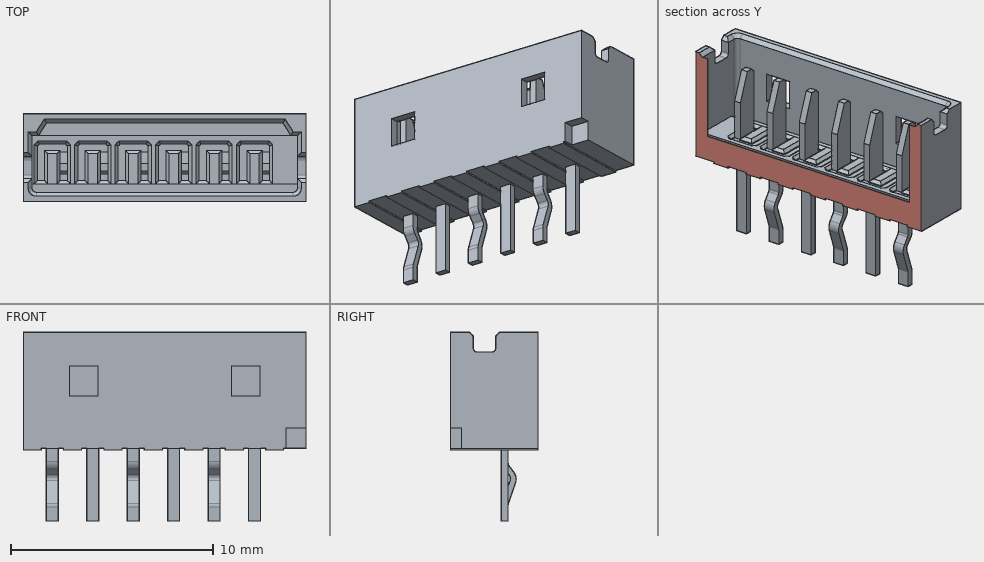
import cadquery as cq


length = 14.0
width = 4.35
height = 5.84
end_wall = 0.43
side_wall = 0.46
lead_in = 0.2
front_corner_radius = 0.21
key_shoulder_y = 3.26
key_shoulder = 0.32
key_slope = 0.39
cavity_depth = 4.44

bed_height = 0.1
bed_front_y = 0.88
bed_top = height - cavity_depth + bed_height

notch_y = 1.15
notch_width = 1.09
notch_depth = 0.98
notch_radius = 0.18

window_length = 1.41
window_height = 1.48
window_bottom = 2.69
window_offset = 4.0

terminal_count = 6
pitch = 2.0
row_shift = -0.56
terminal_xs = [
    length / 2 + row_shift + (i - (terminal_count - 1) / 2) * pitch for i in range(terminal_count)
]

pocket_width = 1.79
pocket_back_y = 3.0
pocket_corner = 0.18
pocket_depth = 0.2
pocket_chamfer = 0.15
tongue_width = 0.77
tongue_back_y = 2.53

blade_offset = tongue_width / 2
blade_thickness = pocket_width / 2 - pocket_chamfer - blade_offset
blade_front_y = 1.36
blade_front_chamfer = 0.17
blade_back_y = 2.45
blade_top = 4.83
blade_top_back_y = 1.89
blade_slope_bottom = 3.32

tail_width = 0.6
tail_thickness = 0.35
tail_front_y = 2.52
tail_length = 3.51

kink_front = {"start": 0.77, "peak": 1.35, "end": 2.73, "reach": 0.49}
kink_back = {"start": 0.71, "peak": 1.35, "end": 2.67, "reach": 0.46}
kink_front_radii = {"start": 0.56, "peak": 0.3, "end": 0.56}
kink_back_radii = {"start": 0.21, "peak": 0.56, "end": 0.21}

relief_height = 0.08
relief_width = 1.09
end_relief_length = 1.12
mark_length = 1.01
mark_height = 1.09
mark_depth = 0.56


def block(x, y, z, size_x, size_y, size_z):
    """Box given by its lowest corner and its sizes."""
    return cq.Workplane("XY").box(size_x, size_y, size_z, centered=False).translate((x, y, z))


def yz_prism(points, x, thickness):
    """Outline in the YZ plane, extruded along +X from x."""
    return cq.Workplane("YZ").polyline(points).close().extrude(thickness).translate((x, 0, 0))


def make_shell():
    """Housing with the keyed cavity and the chamfer around its mouth."""
    back_y = width - side_wall
    shoulder_x = end_wall + key_shoulder
    slope_x = shoulder_x + key_slope
    left = [
        (end_wall, side_wall),
        (end_wall, key_shoulder_y),
        (shoulder_x, key_shoulder_y),
        (slope_x, back_y),
    ]
    right = [(length - x, y) for x, y in reversed(left)]
    cavity = (
        cq.Workplane("XY", origin=(0, 0, height - cavity_depth))
        .polyline(left + right)
        .close()
        .extrude(cavity_depth)
    )
    front_corners = cq.selectors.BoxSelector((0, 0, 0), (length, 2 * side_wall, height))
    cavity = cavity.edges("|Z").edges(front_corners).fillet(front_corner_radius)
    shell = block(0, 0, 0, length, width, height).cut(cavity)
    mouth = shell.faces(">Z").edges("not(<X or >X or <Y or >Y)")
    return mouth.chamfer(lead_in)


def end_notches():
    """Rounded slot across both end walls, flared at the top."""
    bottom = height - notch_depth
    front, back = notch_y, notch_y + notch_width
    slot = block(0, front, bottom, length, notch_width, notch_depth)
    slot = slot.faces("<Z").edges("|X").fillet(notch_radius)
    flare = yz_prism(
        [
            (front - lead_in, height),
            (front, height - lead_in),
            (back, height - lead_in),
            (back + lead_in, height),
        ],
        0,
        length,
    )
    return slot.union(flare)


def windows():
    """Pair of rectangular openings through the front wall."""
    cut = cq.Workplane("XY")
    for side in (-1, 1):
        x = length / 2 + side * window_offset - window_length / 2
        cut = cut.union(block(x, 0, window_bottom, window_length, side_wall, window_height))
    return cut


def make_bed():
    """Raised strip along the cavity floor, from end wall to end wall."""
    bed_length = length - 2 * end_wall
    bed_width = key_shoulder_y - bed_front_y
    return block(end_wall, bed_front_y, bed_top - bed_height, bed_length, bed_width, bed_height)


def pocket(x):
    """Pocket open upward, with a tongue left standing at its front."""
    half = pocket_width / 2
    rim = [
        (x - half, bed_front_y),
        (x + half, bed_front_y),
        (x + half, pocket_back_y - pocket_corner),
        (x + half - pocket_corner, pocket_back_y),
        (x - half + pocket_corner, pocket_back_y),
        (x - half, pocket_back_y - pocket_corner),
    ]
    plane = cq.Workplane("XY", origin=(0, 0, bed_top))
    hole = plane.polyline(rim).close().extrude(-pocket_chamfer, taper=45)
    hole = hole.faces("<Z").wires().toPending().workplane().extrude(pocket_depth - pocket_chamfer)
    tongue_front_y = bed_front_y - pocket_chamfer
    tongue = block(
        x - tongue_width / 2,
        tongue_front_y,
        bed_top - pocket_depth,
        tongue_width,
        tongue_back_y - tongue_front_y,
        pocket_depth,
    )
    tongue = tongue.faces(">Z").edges("|Y or >Y").chamfer(pocket_chamfer)
    return hole.cut(tongue)


def blade(x):
    """Contact blade standing in the pocket, with a sloping back."""
    foot = bed_top - pocket_depth
    profile = [
        (blade_front_y, foot),
        (blade_front_y, blade_top - blade_front_chamfer),
        (blade_front_y + blade_front_chamfer, blade_top),
        (blade_top_back_y, blade_top),
        (blade_back_y, blade_slope_bottom),
        (blade_back_y, foot),
    ]
    return yz_prism(profile, x + blade_offset, blade_thickness)


def straight_tail(x):
    """Plain rectangular tail, rising to the roof of its relief channel."""
    left_x = x - tail_width / 2
    full_length = tail_length + relief_height
    return block(left_x, tail_front_y, -tail_length, tail_width, tail_thickness, full_length)


def kink_points(y, kink):
    """Corners of one side of a kinked tail whose straight parts lie at y."""
    return {
        "start": (y, -kink["start"]),
        "peak": (y + kink["reach"], -kink["peak"]),
        "end": (y, -kink["end"]),
    }


def kinked_tail(x):
    """Strip bent backward and returned to its line."""
    tail_back_y = tail_front_y + tail_thickness
    front = kink_points(tail_front_y, kink_front)
    back = kink_points(tail_back_y, kink_back)
    outline = [
        (tail_front_y, relief_height),
        *front.values(),
        (tail_front_y, -tail_length),
        (tail_back_y, -tail_length),
        *reversed(back.values()),
        (tail_back_y, relief_height),
    ]
    tail = yz_prism(outline, x - tail_width / 2, tail_width)
    for corners, radii in ((front, kink_front_radii), (back, kink_back_radii)):
        for name, (y, z) in corners.items():
            bend = cq.selectors.NearestToPointSelector((x, y, z))
            tail = tail.edges("|X").edges(bend).fillet(radii[name])
    return tail


def underside_reliefs():
    """Shallow channels under the tails and the right end, and the pin 1 corner recess."""
    end_x = length - end_relief_length
    cut = block(end_x, 0, 0, end_relief_length, width, relief_height)
    for x in terminal_xs:
        cut = cut.union(block(x - relief_width / 2, 0, 0, relief_width, width, relief_height))
    return cut.union(block(length - mark_length, 0, 0, mark_length, mark_depth, mark_height))


result = make_shell().cut(end_notches()).cut(windows()).union(make_bed()).cut(underside_reliefs())
for number, terminal_x in enumerate(terminal_xs):
    result = result.cut(pocket(terminal_x)).union(blade(terminal_x))
    tail = kinked_tail(terminal_x) if number % 2 == 0 else straight_tail(terminal_x)
    result = result.union(tail)